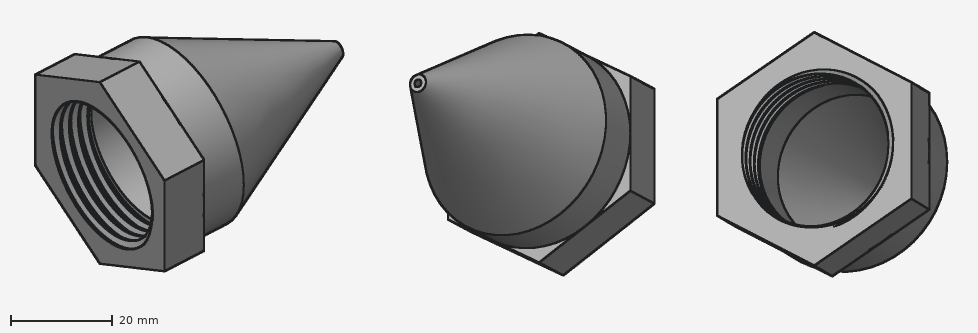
import cadquery as cq
import math

total_length = 60.0
body_diameter = 41.0
hex_length = total_length / 6
cone_start = total_length / 3
tip_diameter = 3.6
outlet_diameter = 1.5

bore_diameter = 30.6
thread_diameter = 33.25
thread_pitch = 2.31
flank_angle = 27.5
mouth_width = 0.8 * thread_pitch
bore_overlap = 0.2


def outer_body():
    across_corners = body_diameter / math.cos(math.radians(30))
    hexagon = (
        cq.Workplane("XY")
        .polygon(6, across_corners)
        .extrude(hex_length)
        .rotate((0, 0, 0), (0, 0, 1), 30)
        .rotate((0, 0, 0), (1, 0, 0), -90)
    )
    nozzle = (
        cq.Workplane("XY")
        .polyline([
            (0, 0),
            (body_diameter / 2, 0),
            (body_diameter / 2, cone_start),
            (tip_diameter / 2, total_length),
            (0, total_length),
        ])
        .close()
        .revolve(360, (0, 0), (0, 1))
    )
    return hexagon.union(nozzle)


def inner_cavity():
    return (
        cq.Workplane("XY")
        .polyline([
            (0, 0),
            (bore_diameter / 2, 0),
            (bore_diameter / 2, cone_start),
            (outlet_diameter / 2, total_length),
            (0, total_length),
        ])
        .close()
        .revolve(360, (0, 0), (0, 1))
    )


def thread_groove():
    """Helical groove, cut off square at both ends of the hexagon."""
    bore_radius = bore_diameter / 2
    root_radius = thread_diameter / 2
    inner_radius = bore_radius - bore_overlap
    flank_slope = math.tan(math.radians(flank_angle))
    inner_half = mouth_width / 2 + bore_overlap * flank_slope
    root_half = mouth_width / 2 - (root_radius - bore_radius) * flank_slope

    helix_length = hex_length + 2 * thread_pitch
    helix = cq.Wire.makeHelix(thread_pitch, helix_length, bore_radius)
    groove = (
        cq.Workplane("XZ")
        .polyline([
            (inner_radius, -inner_half),
            (root_radius, -root_half),
            (root_radius, root_half),
            (inner_radius, inner_half),
        ])
        .close()
        .sweep(cq.Workplane(helix), isFrenet=True)
        .translate((0, 0, -thread_pitch))
    )
    threaded_zone = cq.Workplane("XY").circle(body_diameter / 2).extrude(hex_length)
    return groove.intersect(threaded_zone).rotate((0, 0, 0), (1, 0, 0), -90)


result = outer_body().cut(inner_cavity()).cut(thread_groove())